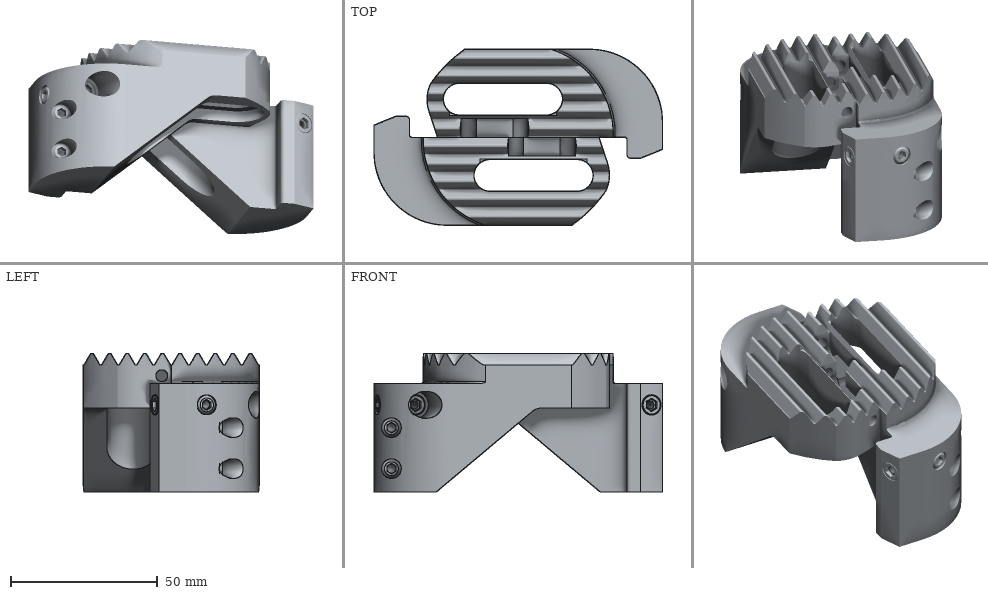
import cadquery as cq
import math

length = 98.4
width = 60.0
height = 47.2
x_end = length / 2
y_side = width / 2

corner_radius = 25.0
corner_x = -x_end + corner_radius
corner_y = -y_side + corner_radius
nose_start_x = 18.2
nose_flank_mid = (24.6, -24.6)
nose_corner = (29.9, -18.2)
nose_tip = (31.1, -13.0)
nose_shoulder = (30.4, -8.8)
nose_inner_x = 27.6

hook_reach = 7.2
hook_wall_x = -37.0
hook_bevel_run = 7.5
hook_bevel_drop = 3.05
hook_tip_radius = 1.3
hook_root_radius = 0.8

ramp_foot_x = -27.9
ramp_angle = 40.0
ramp_blend_radius = 4.9
underside_z = 28.6
shelf_z = 37.0
shelf_fillet = 0.7
platform_arc = [(-32.4, 0), (-24.6, -21.3), (-11.1, -y_side)]

teeth_per_jaw = 5
tooth_pitch = y_side / teeth_per_jaw
tooth_height = 3.9
tooth_tip = 0.9
tooth_gap = 0.5
tooth_tip_radius = 0.5
tooth_root_radius = 0.3
root_z = height - tooth_height

slot_x = 5.2
slot_y = -13.0
slot_length = 40.5
slot_width = 10.7
relief_width = 17.9
relief_top_z = 32.5
notch_length = 36.4
notch_wall_y = -7.4
notch_floor_z = 44.9

pocket_x = 8.1
pocket_length = 22.8
pocket_depth_y = 6.4
pocket_floor_z = shelf_z
pocket_flare = 0.3
trough_diameter = 5.2

cross_hole_diameter = 4.0
cross_hole_y = -3.2
cross_hole_z = 39.7
cross_hole_past_pocket = 2.0

screw_diameter = 6.7
screw_chamfer = 1.0
screw_hex = 3.05
screw_socket_depth = 2.0
screw_socket_cone = 0.9
upper_screw_z = 29.7

pin_screw_x = -x_end + 6.0
pin_screw_face_y = -17.4
pin_screw_levels = (8.0, 21.9)
pin_screw_length = 9.8

lock_screw_angle = 16.7
lock_screw_length = 4.9
lock_screw_inset = 0.2

long_screw_diameter = 6.9
long_screw_length = 28.0
long_screw_chamfer = 0.3
long_screw_hex = 3.8
long_socket_depth = 1.5
long_screw_bore = 2.8
counterbore_diameter = 9.2

overcut = 19.7


def frame(origin, direction):
    """Plane at origin whose normal points along direction, with a level x axis."""
    x_axis = (-direction[1], direction[0], 0)
    return cq.Plane(origin=origin, xDir=x_axis, normal=direction)


def rod(plane, diameter, depth):
    return cq.Workplane(plane).circle(diameter / 2).extrude(depth)


pin_screw_planes = [frame((pin_screw_x, pin_screw_face_y, z), (0, 1, 0)) for z in pin_screw_levels]

lock_dx = math.cos(math.radians(lock_screw_angle))
lock_dy = math.sin(math.radians(lock_screw_angle))
lock_start = corner_radius - lock_screw_inset
lock_screw_plane = frame(
    (corner_x - lock_start * lock_dx, corner_y - lock_start * lock_dy, upper_screw_z),
    (lock_dx, lock_dy, 0),
)

bevel_length = math.hypot(hook_bevel_run, hook_bevel_drop)
long_screw_plane = frame(
    (-x_end + hook_bevel_run / 2, hook_reach - hook_bevel_drop / 2, upper_screw_z),
    (hook_bevel_drop / bevel_length, -hook_bevel_run / bevel_length, 0),
)


def jaw_plan():
    """Full-height prism with the jaw's plan outline."""
    corner_mid = corner_radius * math.sqrt(0.5)
    return (
        cq.Workplane("XY")
        .moveTo(-x_end, corner_y)
        .threePointArc((corner_x - corner_mid, corner_y - corner_mid), (corner_x, -y_side))
        .lineTo(nose_start_x, -y_side)
        .threePointArc(nose_flank_mid, nose_corner)
        .threePointArc(nose_tip, nose_shoulder)
        .lineTo(nose_inner_x, 0)
        .lineTo(hook_wall_x + hook_root_radius, 0)
        .radiusArc((hook_wall_x, hook_root_radius), hook_root_radius)
        .lineTo(hook_wall_x, hook_reach - hook_tip_radius)
        .radiusArc((hook_wall_x - hook_tip_radius, hook_reach), -hook_tip_radius)
        .lineTo(-x_end + hook_bevel_run, hook_reach)
        .lineTo(-x_end, hook_reach - hook_bevel_drop)
        .close()
        .extrude(height)
    )


def below_ramp():
    """Wedge removed under the ramp and the flat underside."""
    run = underside_z / math.tan(math.radians(ramp_angle))
    wedge = (
        cq.Workplane("XZ")
        .moveTo(ramp_foot_x, 0)
        .lineTo(ramp_foot_x + run, underside_z)
        .lineTo(x_end, underside_z)
        .lineTo(x_end, 0)
        .close()
        .extrude(width, both=True)
    )
    ramp_top = cq.selectors.NearestToPointSelector((ramp_foot_x + run, 0, underside_z))
    return wedge.edges("|Y").edges(ramp_top).fillet(ramp_blend_radius)


def above_shelf():
    """Space over the shelf, bounded by the toothed platform's arc."""
    start, middle, end = platform_arc
    return (
        cq.Workplane("XY", origin=(0, 0, shelf_z))
        .moveTo(*start)
        .threePointArc(middle, end)
        .lineTo(end[0], end[1] - overcut)
        .lineTo(-x_end - overcut, end[1] - overcut)
        .lineTo(-x_end - overcut, overcut)
        .lineTo(start[0], overcut)
        .close()
        .extrude(height)
    )


def tooth_gaps():
    """V-grooves along X that leave five teeth on the platform."""
    groove_top = tooth_pitch - tooth_tip
    grooves = cq.Workplane("YZ")
    for i in range(teeth_per_jaw + 1):
        y = -i * tooth_pitch
        grooves = grooves.add(
            cq.Workplane("YZ", origin=(-x_end, 0, 0))
            .moveTo(y - tooth_gap / 2, root_z)
            .lineTo(y + tooth_gap / 2, root_z)
            .lineTo(y + groove_top / 2, height)
            .lineTo(y - groove_top / 2, height)
            .close()
            .extrude(length)
        )
    return grooves.combine().faces("<Z").edges("|X").fillet(tooth_root_radius)


def slot_cutter():
    """Through slot, its wide relief from below and the notch beside it."""
    at_slot = cq.Workplane("XY", origin=(slot_x, slot_y, 0))
    slot = at_slot.slot2D(slot_length, slot_width).extrude(height)
    relief_length = slot_length + relief_width - slot_width
    relief = at_slot.slot2D(relief_length, relief_width).extrude(relief_top_z)
    notch = cq.Workplane("XY").box(
        notch_length, notch_wall_y - slot_y, tooth_height + overcut, centered=(True, False, False)
    ).translate((slot_x, slot_y, notch_floor_z))
    return slot.union(relief).union(notch)


def pocket_cutter():
    """Pocket with a round trough along each end and slightly flared end walls."""
    half = pocket_length / 2
    pocket = (
        cq.Workplane("XZ", origin=(pocket_x, 0, 0))
        .moveTo(-half, pocket_floor_z)
        .lineTo(half, pocket_floor_z)
        .lineTo(half, root_z)
        .lineTo(half + pocket_flare, height)
        .lineTo(-half - pocket_flare, height)
        .lineTo(-half, root_z)
        .close()
        .extrude(pocket_depth_y)
    )
    trough_offset = half - trough_diameter / 2
    troughs = (
        cq.Workplane("XZ", origin=(pocket_x, 0, pocket_floor_z))
        .pushPoints([(-trough_offset, 0), (trough_offset, 0)])
        .circle(trough_diameter / 2)
        .extrude(pocket_depth_y)
    )
    return pocket.union(troughs)


def cross_hole():
    """Hole along X from the nose, across the pocket, ending blind."""
    end_x = pocket_x - pocket_length / 2 - cross_hole_past_pocket
    start = cq.Plane(origin=(x_end, cross_hole_y, cross_hole_z), normal=(-1, 0, 0))
    return rod(start, cross_hole_diameter, x_end - end_x)


def screw_bore(plane, diameter, depth):
    """Bore that holds a screw and stays open outside the screw face."""
    outer = cq.Workplane(plane).workplane(offset=-overcut).plane
    return rod(outer, diameter, overcut + depth)


def make_jaw():
    jaw = jaw_plan().cut(below_ramp()).cut(above_shelf())
    platform_foot = cq.selectors.NearestToPointSelector((*platform_arc[1], shelf_z))
    jaw = jaw.edges(platform_foot).fillet(shelf_fillet)
    jaw = jaw.cut(tooth_gaps())
    jaw = jaw.faces(">Z").edges("|X").fillet(tooth_tip_radius)
    jaw = jaw.cut(slot_cutter()).cut(pocket_cutter()).cut(cross_hole())
    for plane in pin_screw_planes:
        jaw = jaw.cut(screw_bore(plane, screw_diameter, pin_screw_length))
    jaw = jaw.cut(screw_bore(lock_screw_plane, screw_diameter, lock_screw_length))
    jaw = jaw.cut(rod(long_screw_plane, long_screw_diameter, long_screw_length))
    far_end = cq.Workplane(long_screw_plane).workplane(offset=long_screw_length).plane
    return jaw.cut(rod(far_end, counterbore_diameter, overcut))


def hex_socket(plane, across_flats, depth):
    corner_to_corner = across_flats / math.cos(math.pi / 6)
    return (
        cq.Workplane(plane)
        .transformed(rotate=(0, 0, 90))
        .polygon(6, corner_to_corner)
        .extrude(depth)
    )


def make_set_screw(plane, screw_length):
    """Set screw with a chamfered, socketed outer end."""
    local = cq.Workplane("XY").circle(screw_diameter / 2).extrude(screw_length)
    local = local.faces("<Z").chamfer(screw_chamfer)
    local = local.cut(hex_socket(cq.Plane.XY(), screw_hex, screw_socket_depth))
    cone = cq.Solid.makeCone(
        screw_hex / 2, 0, screw_socket_cone, pnt=cq.Vector(0, 0, screw_socket_depth)
    )
    return local.cut(cq.Workplane(cone)).val().moved(cq.Location(plane))


def make_long_screw():
    """Hollow through screw with a chamfer and a hex socket at both ends."""
    local = cq.Workplane("XY").circle(long_screw_diameter / 2).extrude(long_screw_length)
    local = local.faces("<Z or >Z").chamfer(long_screw_chamfer)
    for z in (0, long_screw_length - long_socket_depth):
        socket = hex_socket(cq.Plane(origin=(0, 0, z)), long_screw_hex, long_socket_depth)
        local = local.cut(socket)
    local = local.cut(rod(cq.Plane.XY(), long_screw_bore, long_screw_length))
    return local.val().moved(cq.Location(long_screw_plane))


jaw = make_jaw().val()
pin_screws = [make_set_screw(plane, pin_screw_length) for plane in pin_screw_planes]
lock_screw = make_set_screw(lock_screw_plane, lock_screw_length)
long_screw = make_long_screw()

bodies = []
for turn in (0, 180):
    for body in (jaw, *pin_screws, lock_screw, long_screw):
        bodies.append(body.rotate(cq.Vector(0, 0, 0), cq.Vector(0, 0, 1), turn))

result = cq.Compound.makeCompound(bodies)